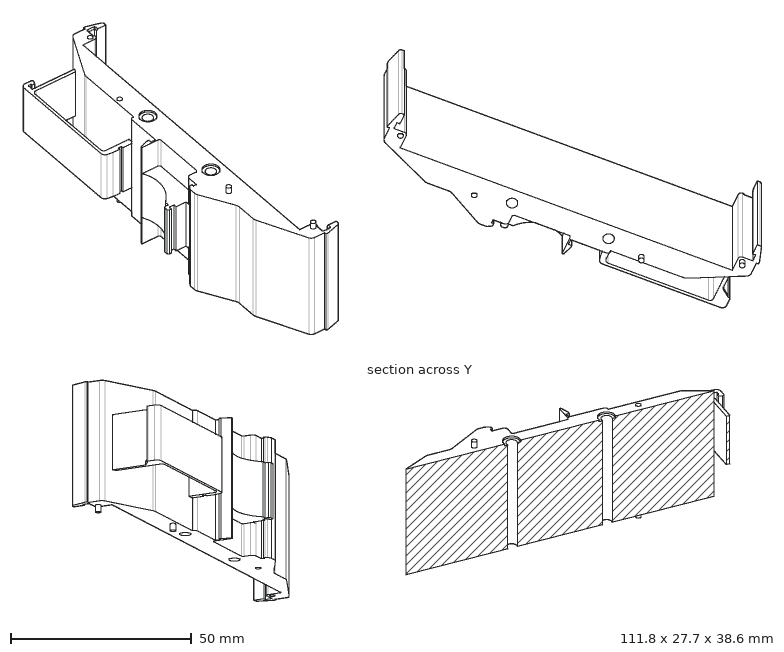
import cadquery as cq
import math

HALF_LENGTH = 55.9
TOTAL_DEPTH = 27.7
TOTAL_HEIGHT = 38.6
BODY_HEIGHT = 34.7
BODY_TOP = BODY_HEIGHT / 2
FOOT_HEIGHT = 15.9
JOIN = 0.6

CLIP_TOP = 10.3
SLOT_TOP = 7.0
SLOT_BOTTOM = 5.0
RIDGE_TOP = 5.4
RIDGE_BOTTOM = 4.7
SLOPE_START_Y = 0.2
BODY_BOTTOM = -7.5
RAIL_FACE = -8.6
LIP_SEAT = -11.2
LIP_BOTTOM = -13.9
FOOT_BOTTOM = CLIP_TOP - TOTAL_DEPTH

POST_OUTER = 55.2
POST_INNER = 50.0
SLOT_BACK = 54.0
CLIP_INNER = 53.1
CLIP_OUTER = 54.5
SLOT_LEAD_IN = 0.5
LEAD_IN_END = 51.7

SLOPE_END = 39.0
LIP_SLOPE_TOP = 31.5
LIP_SLOPE_BOTTOM = 20.5
LIP_TIP = 16.5
LIP_BEVEL_WIDTH = 1.5
LIP_BEVEL_HEIGHT = 0.8
LIP_UNDERCUT = 0.7
LIP_UNDERCUT_TOP = LIP_SEAT - 1.0
RECESS_RIGHT = 12.9
STEP_LEFT = -16.7

FIN_RIGHT = -4.6
FIN_LEFT = -5.0
FIN_TIP = -13.6
FIN_NOSE = -6.0
FIN_NOSE_TOP = -10.2
FIN_NOSE_BOTTOM = -10.8

CLIP_RADIUS = 0.8
POST_RADIUS = 0.9
SLOPE_START_RADIUS = 1.5
BEND_RADIUS = 2.2
EDGE_RADIUS = 1.1
LIP_RADIUS = 0.7
STEP_RADIUS = 0.9
RECESS_RADIUS = 0.6

BLOCK_RIGHT = 12.5
BLOCK_JOIN_RIGHT = RECESS_RIGHT + EDGE_RADIUS
RELIEF_START = (FIN_RIGHT - 0.1, FIN_TIP)
RELIEF_PEAK = (0.7, -12.1)
RELIEF_END = (9.2, -15.9)
TAB_LEFT = 10.5
TAB_CHAMFER = 0.5
NOTCH_LEFT = 11.5
NOTCH_TOP = -14.6
NOTCH_BOTTOM = -16.2

WALL_LEFT = -52.1
WALL_RIGHT = -51.0
WALL_TOP = -1.1
ARM_LEFT = -18.7
ARM_RIGHT = -16.8
ARM_TAPER = 0.5
ARM_TAPER_TOP = FOOT_BOTTOM + 2.9
ARM_RADIUS = 1.3
ARM_GROOVE_TOP = -11.1
ARM_GROOVE_BOTTOM = -12.1
ARM_GROOVE_DEPTH = 0.7
FOOT_FLOOR = FOOT_BOTTOM + 0.9
FLOOR_RADIUS = 1.0
HOOK_LEFT = -POST_OUTER
HOOK_INNER = -54.0
HOOK_NOSE = -53.5
HOOK_TOP = -13.5
HOOK_NOSE_TOP = -14.0
HOOK_NOSE_BOTTOM = -14.9
HOOK_CREST = -54.6
HOOK_HEEL_RADIUS = 1.3
HOOK_TIP_RADIUS = 0.5
POCKET_FLOOR = FOOT_BOTTOM + 1.6
GUSSET_TOP = -11.6
GUSSET_THICKNESS = 1.0

SCREW_X = 14.5
SCREW_Y = -4.1
SCREW_DIAMETER = 3.1
SCREW_RECESS_DIAMETER = 5.0
SCREW_RECESS_DEPTH = 0.6
PIN_PLACES = [(25.2, -5.9), (51.4, 3.6)]
PIN_DIAMETER = 1.6
PIN_LENGTH = (TOTAL_HEIGHT - BODY_HEIGHT) / 2
PIN_HOLE_DEPTH = 2.2


def prism(corners, height):
    """Extrude a closed outline, centred on Z = 0.

    Each corner is (x, y), or (x, y, radius) for a rounded corner. The first corner is sharp.
    """
    outline = cq.Workplane("XY").workplane(offset=-height / 2).moveTo(*corners[0])
    for i in range(1, len(corners)):
        x, y, *rounding = corners[i]
        if not rounding:
            outline = outline.lineTo(x, y)
            continue
        radius = rounding[0]
        here = cq.Vector(x, y)
        back = (cq.Vector(*corners[i - 1][:2]) - here).normalized()
        ahead = (cq.Vector(*corners[(i + 1) % len(corners)][:2]) - here).normalized()
        half_angle = back.getAngle(ahead) / 2
        setback = radius / math.tan(half_angle)
        arc_start = here + back * setback
        arc_end = here + ahead * setback
        arc_middle = here + (back + ahead).normalized() * (radius / math.sin(half_angle) - radius)
        outline = outline.lineTo(arc_start.x, arc_start.y)
        outline = outline.threePointArc((arc_middle.x, arc_middle.y), (arc_end.x, arc_end.y))
    return outline.close().extrude(height)


def make_body():
    """Full-height profile: both ends are alike, the underside is not."""
    right_end = [
        (POST_INNER, 0),
        (POST_INNER, SLOT_BOTTOM, POST_RADIUS),
        (SLOT_BACK, SLOT_BOTTOM),
        (SLOT_BACK, SLOT_TOP),
        (CLIP_INNER, SLOT_TOP),
        (CLIP_INNER, CLIP_TOP),
        (CLIP_OUTER, CLIP_TOP, CLIP_RADIUS),
        (HALF_LENGTH, RIDGE_TOP),
        (HALF_LENGTH, RIDGE_BOTTOM),
        (POST_OUTER, RIDGE_BOTTOM),
        (POST_OUTER, SLOPE_START_Y, SLOPE_START_RADIUS),
        (SLOPE_END, BODY_BOTTOM, BEND_RADIUS),
    ]
    lip = [
        (LIP_SLOPE_TOP, BODY_BOTTOM, BEND_RADIUS),
        (LIP_SLOPE_BOTTOM, LIP_BOTTOM, BEND_RADIUS),
        (LIP_TIP + LIP_BEVEL_WIDTH, LIP_BOTTOM),
        (LIP_TIP, LIP_BOTTOM + LIP_BEVEL_HEIGHT, LIP_RADIUS),
        (LIP_TIP, LIP_UNDERCUT_TOP),
        (LIP_TIP + LIP_UNDERCUT, LIP_UNDERCUT_TOP),
        (LIP_TIP + LIP_UNDERCUT, LIP_SEAT),
    ]
    recess = [
        (RECESS_RIGHT, LIP_SEAT, EDGE_RADIUS),
        (RECESS_RIGHT, BODY_BOTTOM, RECESS_RADIUS),
        (FIN_RIGHT, BODY_BOTTOM, RECESS_RADIUS),
    ]
    fin = [
        (FIN_RIGHT, FIN_TIP),
        (FIN_LEFT, FIN_TIP),
        (FIN_NOSE, FIN_NOSE_BOTTOM),
        (FIN_NOSE, FIN_NOSE_TOP),
        (FIN_LEFT, FIN_NOSE_TOP),
        (FIN_LEFT, RAIL_FACE),
    ]
    rail_step = [
        (STEP_LEFT, RAIL_FACE, STEP_RADIUS),
        (STEP_LEFT, BODY_BOTTOM),
    ]
    left_end = [(-x, *rest) for x, *rest in reversed(right_end)]
    return prism(right_end + lip + recess + fin + rail_step + left_end, BODY_HEIGHT)


def make_slot_lead_in():
    """Wedge that flares the top mouth of the right-hand board slot."""
    return (
        cq.Workplane("XY")
        .workplane(offset=BODY_TOP - SLOT_LEAD_IN)
        .center((SLOT_BACK + LEAD_IN_END) / 2, (SLOT_BOTTOM + SLOT_TOP) / 2)
        .rect(SLOT_BACK - LEAD_IN_END, SLOT_TOP - SLOT_BOTTOM)
        .extrude(SLOT_LEAD_IN, taper=-45)
    )


def make_latch_block():
    """Block with a curved finger relief and a notched tab."""
    return (
        cq.Workplane("XY")
        .workplane(offset=-FOOT_HEIGHT / 2)
        .moveTo(RELIEF_START[0], BODY_BOTTOM + JOIN)
        .lineTo(*RELIEF_START)
        .threePointArc(RELIEF_PEAK, RELIEF_END)
        .lineTo(TAB_LEFT, RELIEF_END[1])
        .lineTo(TAB_LEFT, FOOT_BOTTOM + TAB_CHAMFER)
        .lineTo(TAB_LEFT + TAB_CHAMFER, FOOT_BOTTOM)
        .lineTo(BLOCK_RIGHT - TAB_CHAMFER, FOOT_BOTTOM)
        .lineTo(BLOCK_RIGHT, FOOT_BOTTOM + TAB_CHAMFER)
        .lineTo(BLOCK_RIGHT, NOTCH_BOTTOM)
        .lineTo(NOTCH_LEFT, NOTCH_BOTTOM)
        .lineTo(NOTCH_LEFT, NOTCH_TOP)
        .lineTo(BLOCK_RIGHT, NOTCH_TOP)
        .lineTo(BLOCK_RIGHT, LIP_SEAT)
        .lineTo(BLOCK_JOIN_RIGHT, LIP_SEAT)
        .lineTo(BLOCK_JOIN_RIGHT, BODY_BOTTOM + JOIN)
        .close()
        .extrude(FOOT_HEIGHT)
    )


def make_foot():
    """Springy frame below the body: arm, floor, thin wall and end hook."""
    arm_groove = ARM_RIGHT - ARM_GROOVE_DEPTH
    return prism(
        [
            (ARM_RIGHT, BODY_BOTTOM + JOIN),
            (ARM_LEFT, BODY_BOTTOM + JOIN),
            (ARM_LEFT, FOOT_FLOOR, FLOOR_RADIUS),
            (WALL_RIGHT, FOOT_FLOOR, FLOOR_RADIUS),
            (WALL_RIGHT, WALL_TOP - JOIN),
            (WALL_LEFT, WALL_TOP),
            (WALL_LEFT, POCKET_FLOOR),
            (HOOK_INNER, POCKET_FLOOR),
            (HOOK_INNER, HOOK_NOSE_BOTTOM),
            (HOOK_NOSE, HOOK_NOSE_BOTTOM),
            (HOOK_NOSE, HOOK_NOSE_TOP),
            (HOOK_CREST, HOOK_TOP),
            (HOOK_LEFT, HOOK_TOP, HOOK_TIP_RADIUS),
            (HOOK_LEFT, FOOT_BOTTOM, HOOK_HEEL_RADIUS),
            (ARM_RIGHT - ARM_TAPER, FOOT_BOTTOM, ARM_RADIUS),
            (ARM_RIGHT, ARM_TAPER_TOP),
            (ARM_RIGHT, ARM_GROOVE_BOTTOM),
            (arm_groove, ARM_GROOVE_BOTTOM),
            (arm_groove, ARM_GROOVE_TOP),
            (ARM_RIGHT, ARM_GROOVE_TOP),
        ],
        FOOT_HEIGHT,
    )


def make_gusset():
    """Thin plate from the hook to the wall at the lower end of the foot."""
    wall_middle = (WALL_LEFT + WALL_RIGHT) / 2
    gusset = prism(
        [
            (HOOK_CREST, POCKET_FLOOR - JOIN),
            (wall_middle, POCKET_FLOOR - JOIN),
            (wall_middle, GUSSET_TOP),
            (WALL_LEFT, GUSSET_TOP),
            (HOOK_CREST, HOOK_TOP),
        ],
        GUSSET_THICKNESS,
    )
    return gusset.translate((0, 0, (GUSSET_THICKNESS - FOOT_HEIGHT) / 2))


def cut_screw_holes(body):
    return (
        body.faces(">Z")
        .workplane(origin=(0, 0, BODY_TOP))
        .pushPoints([(-SCREW_X, SCREW_Y), (SCREW_X, SCREW_Y)])
        .cboreHole(SCREW_DIAMETER, SCREW_RECESS_DIAMETER, SCREW_RECESS_DEPTH)
    )


def pin_cylinders(side, start, end):
    """Cylinders from Z = start to Z = end on the +X (side = 1) or -X (side = -1) half."""
    places = [(side * x, y) for x, y in PIN_PLACES]
    plane = cq.Workplane("XY").workplane(offset=start)
    return plane.pushPoints(places).circle(PIN_DIAMETER / 2).extrude(end - start)


slot_lead_in = make_slot_lead_in()
part = make_body().cut(slot_lead_in).cut(slot_lead_in.mirror("YZ"))
part = cut_screw_holes(part)
part = part.union(make_latch_block()).union(make_foot()).union(make_gusset())

for side in (1, -1):
    pin_face = side * BODY_TOP
    hole_face = -pin_face
    part = part.cut(pin_cylinders(side, hole_face, hole_face + side * PIN_HOLE_DEPTH))
    part = part.union(pin_cylinders(side, pin_face - side * JOIN, pin_face + side * PIN_LENGTH))

result = part